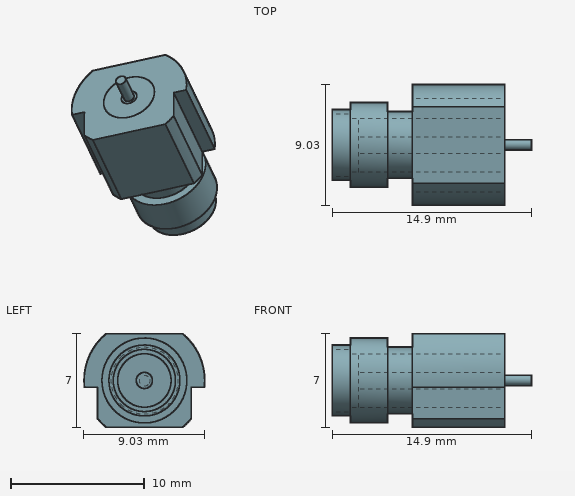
import cadquery as cq

total_length = 14.9

ring_length = 1.35
ring_diameter = 5.3
ring_bore = 4.65

flange_length = 2.79
flange_diameter = 6.35
neck_diameter = 5.0
block_start = 5.99
block_length = 6.91
block_end = block_start + block_length

block_diameter = 9.03
block_size = 7.0
shoulder_drop = 0.5

insulator_diameter = 4.0
recess_depth = 1.95
pin_head_diameter = 1.2
pin_tail_diameter = 0.79


def cylinder(diameter, start, end):
    """Cylinder on the X axis between two x positions."""
    return cq.Workplane("YZ", origin=(start, 0, 0)).circle(diameter / 2).extrude(end - start)


def make_block():
    """Round bar trimmed to a wide upper part and a narrower lower part."""
    half_size = block_size / 2
    upper_height = half_size + shoulder_drop
    plane = cq.Workplane("YZ", origin=(block_start, 0, 0))
    upper = (
        plane.center(0, half_size - upper_height / 2)
        .rect(block_diameter, upper_height)
        .extrude(block_length)
    )
    square = plane.rect(block_size, block_size).extrude(block_length)
    return cylinder(block_diameter, block_start, block_end).intersect(upper.union(square))


def make_housing():
    """Block, neck and flange in one piece, bored through for the insulator."""
    flange_end = ring_length + flange_length
    flange = cylinder(flange_diameter, ring_length, flange_end)
    neck = cylinder(neck_diameter, flange_end, block_start)
    bore = cylinder(insulator_diameter, ring_length, block_end)
    return make_block().union(neck).union(flange).cut(bore)


def make_mouth_ring():
    """Plain tube seated against the front face of the flange."""
    return cylinder(ring_diameter, 0, ring_length).cut(cylinder(ring_bore, 0, ring_length))


def make_insulator():
    """Plug that fills the housing bore and holds the pin."""
    plug = cylinder(insulator_diameter, recess_depth, block_end)
    return plug.cut(cylinder(pin_head_diameter, recess_depth, block_end))


def make_pin():
    """Contact flush with the insulator face, with a thin tail behind the block."""
    head = cylinder(pin_head_diameter, recess_depth, block_end)
    return head.union(cylinder(pin_tail_diameter, block_end, total_length))


housing = make_housing()
mouth_ring = make_mouth_ring()
insulator = make_insulator()
pin = make_pin()

result = cq.Compound.makeCompound([housing.val(), mouth_ring.val(), insulator.val(), pin.val()])